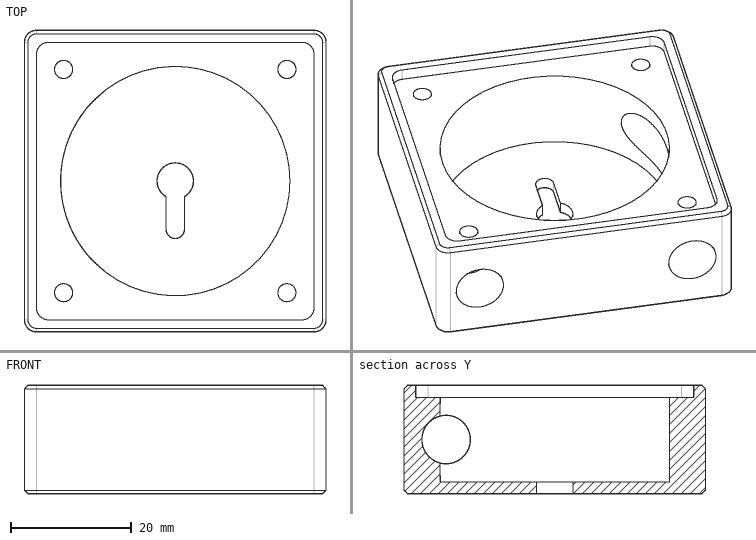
import cadquery as cq

side = 50.0
height = 18.0
corner_radius = 2.0
edge_chamfer = 0.6

rim_width = 2.0
recess_side = side - 2 * rim_width
recess_depth = 2.0
recess_corner_radius = 2.0
ledge_z = height - recess_depth

floor_thickness = 2.0
cavity_diameter = 38.0

screw_diameter = 3.0
screw_spacing = 37.0
screw_depth = 7.0

side_bore_diameter = 8.0
side_bore_offset = 18.0
side_bore_z = (floor_thickness + ledge_z) / 2
long_bore_length = 46.0
short_bore_length = 9.0

keyhole_diameter = 6.0
keyhole_slot_width = 3.0
keyhole_slot_length = 8.0


def make_body():
    """Rounded square block with chamfered top and bottom edges."""
    block = cq.Workplane("XY").box(side, side, height, centered=(True, True, False))
    block = block.edges("|Z").fillet(corner_radius)
    return block.faces("<Z or >Z").edges().chamfer(edge_chamfer)


def make_recess():
    """Shallow rounded square pocket that leaves a rim around the top."""
    pocket = (
        cq.Workplane("XY")
        .workplane(offset=ledge_z)
        .rect(recess_side, recess_side)
        .extrude(recess_depth)
    )
    return pocket.edges("|Z").fillet(recess_corner_radius)


def make_cavity():
    """Central cylinder from the floor up to the ledge."""
    return cq.Workplane("XY").workplane(offset=floor_thickness).circle(cavity_diameter / 2).extrude(
        ledge_z - floor_thickness
    )


def make_screw_holes():
    """Four flat-bottomed holes near the corners."""
    return (
        cq.Workplane("XY")
        .workplane(offset=ledge_z - screw_depth)
        .rect(screw_spacing, screw_spacing, forConstruction=True)
        .vertices()
        .circle(screw_diameter / 2)
        .extrude(screw_depth)
    )


def make_side_bore(x, length):
    """Horizontal blind bore running from the +Y side toward -Y."""
    return (
        cq.Workplane("XZ", origin=(x, side / 2, side_bore_z))
        .circle(side_bore_diameter / 2)
        .extrude(length)
    )


def make_keyhole():
    """Round entry with a narrower round-ended slot running toward -Y."""
    entry = cq.Workplane("XY").circle(keyhole_diameter / 2).extrude(floor_thickness)
    slot = (
        cq.Workplane("XY")
        .center(0, -keyhole_slot_length / 2)
        .slot2D(keyhole_slot_length + keyhole_slot_width, keyhole_slot_width, 90)
        .extrude(floor_thickness)
    )
    return entry.union(slot)


result = (
    make_body()
    .cut(make_recess())
    .cut(make_cavity())
    .cut(make_screw_holes())
    .cut(make_keyhole())
    .cut(make_side_bore(-side_bore_offset, long_bore_length))
    .cut(make_side_bore(side_bore_offset, short_bore_length))
)